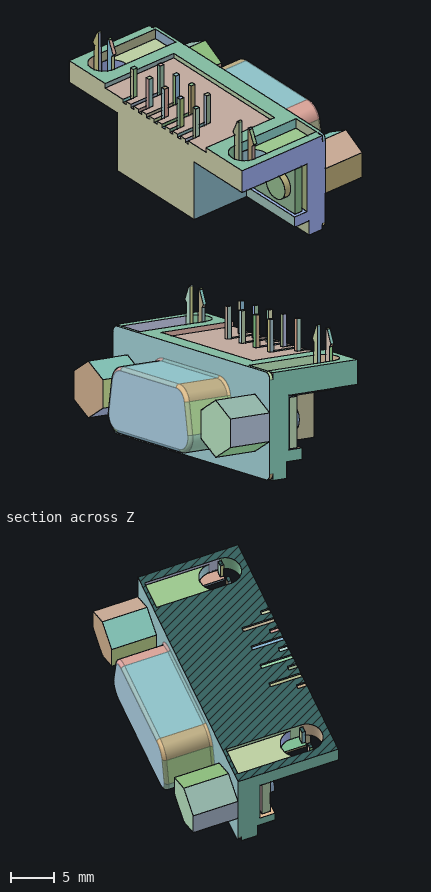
import cadquery as cq
import math


WIDTH = 30.81
TOP_Z = 12.6
UNDERSIDE_Z = 9.68
HOUSING_BOTTOM_Z = 1.94
HOUSING_WIDTH = 13.74
FLANGE_REAR_Y = 9.92
WING_WALL_Y = 9.62
LEDGE_REAR_Y = 7.76
LEDGE_TOP_Z = 3.3

PLATE_REAR_Y = 11.87
PLATE_FRONT_Y = 12.32
PLATE_CORNER_RADIUS = 0.8
AXIS_Z = TOP_Z / 2
SHELL_FRONT_Y = 18.3
SHELL_HEIGHT = 7.88
SHELL_TOP_FLAT = 10.9
SHELL_RADIUS = 2.05
SHELL_SLOPE = math.radians(10)
SHELL_FRONT_FILLET = 0.42
SHELL_ROOT_FILLET = 0.28
SCREW_SPACING = 25.02
HEX_ACROSS_FLATS = 5.77
HEX_FRONT_Y = 17.8

BRACKET_FRONT_Y = 9.22
BRACKET_REAR_Y = 8.18
BRACKET_OUTER_X = 14.96
BRACKET_THICKNESS = 0.39
STRIP_REAR_Y = 2.58
STRIP_OUTER_X = 14.46
STRIP_GAP = 0.84
STRIP_GAP_END_Y = 6.2
RIVET_DIAMETER = 3.37
RIVET_REAR_Y = 7.33

PRONG_THICKNESS = 0.45
PRONG_INNER = 0.8
PRONG_OUTER = 1.55
BARB_REACH = 1.85
BARB_BASE_Z = 14.2
BARB_Z = 14.56
TIP_Z = 16.35
TIP_SHOULDER_Z = 16.2
TIP_WIDTH = 0.3

CHANNEL_WIDTH = 3.62
CHANNEL_DEPTH = 1.27
SLOT_REAR_Y = 0.92
SLOT_LENGTH = 4.92
RECESS_WIDTH = 17.94
RECESS_FRONT_Y = 10.14
RECESS_DEPTH = 0.6

PIN_COUNT = 9
PIN_PITCH = 1.385
PIN_WIDTH = 0.5
PIN_LENGTH = 0.57
PIN_TOP_Z = 15.8
PIN_GROOVE_DEPTH = 0.42
REAR_ROW_Y = 1.39
FRONT_ROW_Y = 4.19

SIDES = (-1, 1)
SCREW_X = SCREW_SPACING / 2


def block(x_range, y_range, z_range):
    """Axis-aligned box between the given limits, in any order."""
    x0, x1 = sorted(x_range)
    y0, y1 = sorted(y_range)
    z0, z1 = sorted(z_range)
    return cq.Workplane("XY").box(x1 - x0, y1 - y0, z1 - z0, centered=False).translate((x0, y0, z0))


def section(y):
    """Workplane at y with local axes X and Z; a negative extrusion goes toward +Y."""
    return cq.Workplane(cq.Plane(origin=(0, y, 0), xDir=(1, 0, 0), normal=(0, -1, 0)))


def make_housing():
    half = WIDTH / 2
    housing = block((-half, half), (FLANGE_REAR_Y, PLATE_REAR_Y), (0, TOP_Z))
    housing = housing.union(block((-half, half), (0, PLATE_REAR_Y), (HOUSING_BOTTOM_Z, TOP_Z)))
    for side in SIDES:
        x_range = (side * HOUSING_WIDTH / 2, side * half)
        housing = housing.cut(block(x_range, (0, WING_WALL_Y), (LEDGE_TOP_Z, UNDERSIDE_Z)))
        housing = housing.cut(block(x_range, (0, LEDGE_REAR_Y), (HOUSING_BOTTOM_Z, LEDGE_TOP_Z)))
    return housing


def cut_channels(housing):
    """Top channel running from the face plate into a through slot, one on each wing."""
    radius = CHANNEL_WIDTH / 2
    slot_y = SLOT_REAR_Y + SLOT_LENGTH / 2
    for side in SIDES:
        x = side * SCREW_X
        channel = block((x - radius, x + radius), (slot_y, PLATE_REAR_Y), (TOP_Z - CHANNEL_DEPTH, TOP_Z))
        slot = cq.Workplane("XY", origin=(x, slot_y, UNDERSIDE_Z))
        slot = slot.slot2D(SLOT_LENGTH, CHANNEL_WIDTH, 90).extrude(TOP_Z - UNDERSIDE_Z)
        housing = housing.cut(channel).cut(slot)
    return housing


def cut_recess(housing):
    half = RECESS_WIDTH / 2
    return housing.cut(block((-half, half), (0, RECESS_FRONT_Y), (TOP_Z - RECESS_DEPTH, TOP_Z)))


def add_pins(body):
    """Two staggered rows of pins, each standing in a groove that runs out at the rear face."""
    floor_z = TOP_Z - RECESS_DEPTH
    groove_z = floor_z - PIN_GROOVE_DEPTH
    for index in range(PIN_COUNT):
        x = (index - (PIN_COUNT - 1) / 2) * PIN_PITCH
        row_y = REAR_ROW_Y if index % 2 == 0 else FRONT_ROW_Y
        x_range = (x - PIN_WIDTH / 2, x + PIN_WIDTH / 2)
        pin_rear_y = row_y - PIN_LENGTH / 2
        body = body.cut(block(x_range, (0, pin_rear_y), (groove_z, floor_z)))
        body = body.union(block(x_range, (pin_rear_y, pin_rear_y + PIN_LENGTH), (groove_z, PIN_TOP_Z)))
    return body


def make_face_plate():
    thickness = PLATE_FRONT_Y - PLATE_REAR_Y
    plate = section(PLATE_REAR_Y).center(0, AXIS_Z).rect(WIDTH, TOP_Z).extrude(-thickness)
    return plate.edges("|Y").fillet(PLATE_CORNER_RADIUS)


def make_shell():
    """D-shaped plug, wider at the bottom, with rounded corners and front rim."""
    half_height = SHELL_HEIGHT / 2
    top_tangent = SHELL_RADIUS * math.tan((math.pi / 2 - SHELL_SLOPE) / 2)
    top_half = SHELL_TOP_FLAT / 2 + top_tangent
    bottom_half = top_half + SHELL_HEIGHT * math.tan(SHELL_SLOPE)
    corners = [
        (-top_half, half_height),
        (top_half, half_height),
        (bottom_half, -half_height),
        (-bottom_half, -half_height),
    ]
    length = SHELL_FRONT_Y - PLATE_FRONT_Y
    shell = section(PLATE_FRONT_Y).center(0, AXIS_Z).polyline(corners).close().extrude(-length)
    shell = shell.edges("|Y").fillet(SHELL_RADIUS)
    return shell.faces(">Y").edges().fillet(SHELL_FRONT_FILLET)


def make_front_shield():
    """Face plate and shell joined by a concave fillet around the root of the shell."""
    shield = make_face_plate().union(make_shell())
    thickness = PLATE_FRONT_Y - PLATE_REAR_Y
    root_box = cq.selectors.BoxSelector(
        (-SCREW_X, PLATE_FRONT_Y - thickness / 2, AXIS_Z - SHELL_HEIGHT),
        (SCREW_X, PLATE_FRONT_Y + thickness / 2, AXIS_Z + SHELL_HEIGHT),
        boundingbox=True,
    )
    return shield.edges(root_box).fillet(SHELL_ROOT_FILLET)


def add_front(body):
    body = body.union(make_front_shield())
    for side in SIDES:
        hexagon = section(PLATE_FRONT_Y).center(side * SCREW_X, AXIS_Z)
        hexagon = hexagon.polygon(6, HEX_ACROSS_FLATS, circumscribed=True)
        body = body.union(hexagon.extrude(PLATE_FRONT_Y - HEX_FRONT_Y))
    return body


def make_prong(x, direction, base_z):
    """Barbed prong beside the screw axis at x, its barb pointing along direction."""
    def at(offset, z):
        return (x + direction * offset, z)

    prong = (
        section(STRIP_REAR_Y)
        .moveTo(*at(PRONG_INNER, base_z))
        .lineTo(*at(PRONG_OUTER, base_z))
        .lineTo(*at(PRONG_OUTER, BARB_BASE_Z))
        .lineTo(*at(BARB_REACH, BARB_Z))
        .lineTo(*at(PRONG_INNER + TIP_WIDTH, TIP_SHOULDER_Z))
        .threePointArc(at(PRONG_INNER + TIP_WIDTH / 2, TIP_Z), at(PRONG_INNER, TIP_SHOULDER_Z))
        .close()
    )
    return prong.extrude(-PRONG_THICKNESS)


def make_bracket(side):
    """Angled bracket under one wing: upright plate, rivet, forked strip and two prongs."""
    x = side * SCREW_X
    inner_x = side * HOUSING_WIDTH / 2
    strip_bottom_z = UNDERSIDE_Z - BRACKET_THICKNESS
    upright_y = (BRACKET_REAR_Y, BRACKET_FRONT_Y)
    bracket = block((inner_x, side * BRACKET_OUTER_X), upright_y, (LEDGE_TOP_Z, strip_bottom_z))
    strip_y = (STRIP_REAR_Y, BRACKET_FRONT_Y)
    strip_z = (strip_bottom_z, UNDERSIDE_Z)
    bracket = bracket.union(block((inner_x, side * STRIP_OUTER_X), strip_y, strip_z))
    gap_x = (x - STRIP_GAP / 2, x + STRIP_GAP / 2)
    bracket = bracket.cut(block(gap_x, (STRIP_REAR_Y, STRIP_GAP_END_Y), strip_z))
    rivet = section(RIVET_REAR_Y).center(x, AXIS_Z).circle(RIVET_DIAMETER / 2)
    bracket = bracket.union(rivet.extrude(RIVET_REAR_Y - BRACKET_REAR_Y))
    for direction in SIDES:
        bracket = bracket.union(make_prong(x, direction, strip_bottom_z))
    return bracket


body = cut_recess(cut_channels(make_housing()))
body = add_front(add_pins(body))
for wing in SIDES:
    body = body.union(make_bracket(wing))
result = body